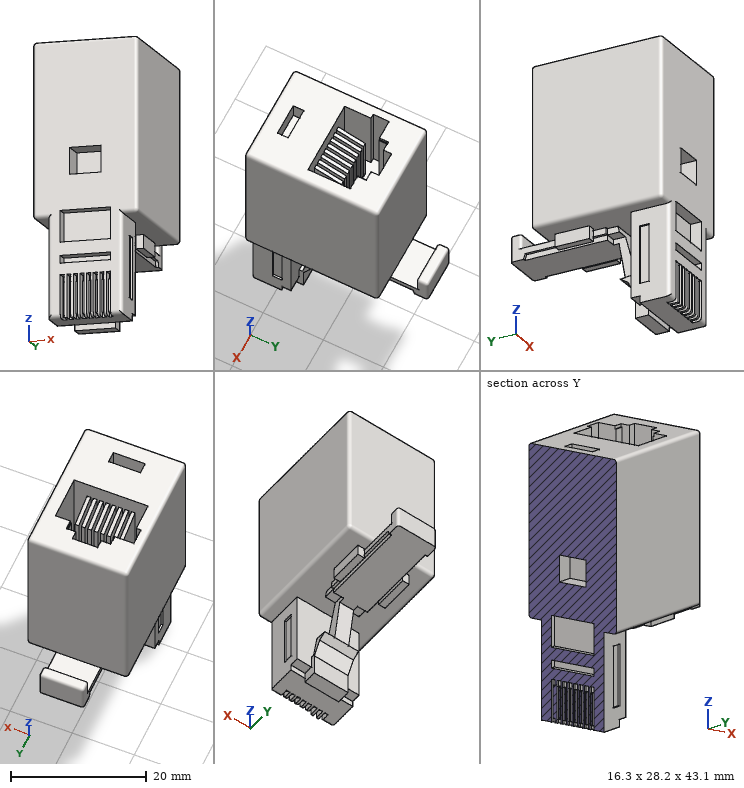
import cadquery as cq

HOUSING_WIDTH = 16.26
HOUSING_DEPTH = 22.23
HOUSING_HEIGHT = 26.87
EDGE_RADIUS = 0.6

PLUG_WIDTH = 11.58
PLUG_DEPTH = 6.57
PLUG_LENGTH = 15.34
NOTCH_FRONT = 5.03
NOTCH_HEIGHT = 1.14

CONTACT_COUNT = 8
CONTACT_PITCH = 1.02
SLOT_WIDTH = 0.6
SLOT_LENGTH = 6.57
SLOT_DEPTH = 1.5
BLADE_PITCH = 1.0
BLADE_WIDTH = 0.35
BLADE_FRONT = 0.8
BLADE_TOP = -9.67
BLADE_BOTTOM = -14.7
BLADE_RADIUS = 0.3
SQUARE_RIB_COUNT = 2

SQUARE_POCKET_WIDTH = 4.83
SQUARE_POCKET_BOTTOM = 6.43
SQUARE_POCKET_TOP = 10.51
SQUARE_POCKET_DEPTH = 3.7
CONTACT_ROW_WIDTH = (CONTACT_COUNT - 1) * CONTACT_PITCH + SLOT_WIDTH
LARGE_POCKET_BOTTOM = -3.8
LARGE_POCKET_TOP = 1.02
CRIMP_POCKET_BOTTOM = -7.0
CRIMP_POCKET_TOP = -5.84
CABLE_POCKET_DEPTH = 1.86

GROOVE_FRONT = 3.51
GROOVE_BACK = 5.08
GROOVE_BOTTOM = -12.12
GROOVE_TOP = -2.63
GROOVE_DEPTH = 0.3

JACK_DEPTH = 14.0
JACK_FRONT = 9.49
JACK_SHOULDER = 16.5
JACK_STEP = 17.96
JACK_BACK = 19.28
JACK_WIDTH = 11.9
JACK_STEP_WIDTH = 6.8
JACK_MOUTH_WIDTH = 7.13
JACK_MOUTH_DEPTH = 0.5
JACK_KEY_WIDTH = 4.06
KEYWAY_FRONT = 13.87
KEYWAY_DEPTH = 0.73
SPRING_REACH = 4.5
SPRING_DROP = 1.4
SPRING_TOP_DEPTH = 3.0
TOP_SLOT_WIDTH = 5.12
TOP_SLOT_FRONT = 2.67
TOP_SLOT_BACK = 4.43
TOP_SLOT_DEPTH = 3.0

LEVER_WIDTH = 7.17
LEVER_TOP = -0.3
LEVER_BOTTOM = -2.19
LEVER_LEDGE = -1.32
LEVER_FRONT = 12.0
NARROW_WIDTH = 6.3
LATCH_BACK = 28.19
TAB_FRONT = 26.3
TAB_TOP = 2.19
TAB_RADIUS = 0.45
RECESS_BACK = 25.7
RECESS_SLANT = 0.3
ARM_WIDTH = 2.6
ARM_FRONT_TOP = 10.25
ARM_BACK_TOP = 11.06
KINK = (9.86, -9.15)
KINK_Z_FRONT = -8.95
ARM_BEND = (8.6, -9.93)
FOOT_BACK = 7.3
FOOT_TOP = -12.0
FOOT_DROP = 0.3
FOOT_BOTTOM = HOUSING_HEIGHT - 43.08
ARM_FRONT_FOOT = 7.1

RAIL_FRONT = 14.17
RAIL_BACK = 20.0
RAIL_DEPTH = 2.1
RAIL_THICKNESS = 1.2


def block(x_range, y_range, z_range):
    """Box between the given limits along X, Y and Z."""
    limits = (x_range, y_range, z_range)
    sizes = [high - low for low, high in limits]
    corner = cq.Vector(*[low for low, high in limits])
    return cq.Workplane(cq.Solid.makeBox(*sizes, corner))


def centered_block(width, y_range, z_range):
    """Box that is symmetric about X = 0."""
    return block((-width / 2, width / 2), y_range, z_range)


def side_profile(points, width, middle=0):
    """Outline of (Y, Z) points given a width along X."""
    start = cq.Workplane("YZ", origin=(middle - width / 2, 0, 0))
    return start.polyline(points).close().extrude(width)


def contact_places(pitch):
    """Middle of each contact along X, for contacts spaced by the given pitch."""
    first = -(CONTACT_COUNT - 1) / 2 * pitch
    return [first + i * pitch for i in range(CONTACT_COUNT)]


def make_shell():
    """Housing and plug as a plain rounded block."""
    housing = centered_block(HOUSING_WIDTH, (0, HOUSING_DEPTH), (0, HOUSING_HEIGHT))
    plug = centered_block(PLUG_WIDTH, (0, PLUG_DEPTH), (-PLUG_LENGTH, EDGE_RADIUS))
    shell = housing.union(plug)
    front_edges = shell.faces("<Y").edges()
    side_edges = shell.faces("<X or >X").edges()
    back_edges = shell.faces(">Y").edges()
    top_edges = shell.faces(">Z").edges()
    rounded = front_edges.add(side_edges).add(back_edges).add(top_edges)
    return rounded.fillet(EDGE_RADIUS)


def cut_front_pockets(body):
    for width, depth, bottom, top in (
        (SQUARE_POCKET_WIDTH, SQUARE_POCKET_DEPTH, SQUARE_POCKET_BOTTOM, SQUARE_POCKET_TOP),
        (CONTACT_ROW_WIDTH, CABLE_POCKET_DEPTH, LARGE_POCKET_BOTTOM, LARGE_POCKET_TOP),
        (CONTACT_ROW_WIDTH, CABLE_POCKET_DEPTH, CRIMP_POCKET_BOTTOM, CRIMP_POCKET_TOP),
    ):
        body = body.cut(centered_block(width, (0, depth), (bottom, top)))
    return body


def add_plug_contacts(body):
    """Slots open at the tip of the plug, each with a rounded contact blade on its floor."""
    places = contact_places(CONTACT_PITCH)
    slot_top = SLOT_LENGTH - PLUG_LENGTH
    for left in places[:SQUARE_RIB_COUNT]:
        rib_range = (left, left + CONTACT_PITCH)
        body = body.union(block(rib_range, (0, EDGE_RADIUS), (-PLUG_LENGTH, slot_top)))
    for x in places:
        slot_range = (x - SLOT_WIDTH / 2, x + SLOT_WIDTH / 2)
        body = body.cut(block(slot_range, (0, SLOT_DEPTH), (-PLUG_LENGTH, slot_top)))
    for x in contact_places(BLADE_PITCH):
        blade_range = (x - BLADE_WIDTH / 2, x + BLADE_WIDTH / 2)
        blade = block(blade_range, (BLADE_FRONT, SLOT_DEPTH), (BLADE_BOTTOM, BLADE_TOP))
        body = body.union(blade.faces("<Y").edges("|X").fillet(BLADE_RADIUS))
    return body


def cut_plug_grooves_and_notch(body):
    half = PLUG_WIDTH / 2
    for x_range in ((-half, GROOVE_DEPTH - half), (half - GROOVE_DEPTH, half)):
        body = body.cut(block(x_range, (GROOVE_FRONT, GROOVE_BACK), (GROOVE_BOTTOM, GROOVE_TOP)))
    notch_range = (-PLUG_LENGTH, NOTCH_HEIGHT - PLUG_LENGTH)
    return body.cut(centered_block(PLUG_WIDTH, (NOTCH_FRONT, PLUG_DEPTH), notch_range))


def cut_jack(body):
    """Stepped opening with a keyway in its left wall and spring contacts on its front wall."""
    z_range = (HOUSING_HEIGHT - JACK_DEPTH, HOUSING_HEIGHT)
    opening = centered_block(JACK_WIDTH, (JACK_FRONT, JACK_SHOULDER), z_range)
    opening = opening.union(centered_block(JACK_STEP_WIDTH, (JACK_FRONT, JACK_STEP), z_range))
    opening = opening.union(centered_block(JACK_KEY_WIDTH, (JACK_FRONT, JACK_BACK), z_range))
    mouth_range = (HOUSING_HEIGHT - JACK_MOUTH_DEPTH, HOUSING_HEIGHT)
    opening = opening.union(centered_block(JACK_MOUTH_WIDTH, (JACK_SHOULDER, JACK_STEP), mouth_range))
    keyway_range = (-JACK_WIDTH / 2 - KEYWAY_DEPTH, 0)
    opening = opening.union(block(keyway_range, (KEYWAY_FRONT, JACK_SHOULDER), z_range))
    spring_top = HOUSING_HEIGHT - SPRING_TOP_DEPTH
    spring_back = JACK_FRONT + SPRING_REACH
    spring_points = [
        (JACK_FRONT, spring_top),
        (spring_back, spring_top - SPRING_DROP),
        (spring_back, z_range[0]),
        (JACK_FRONT, z_range[0]),
    ]
    for x in contact_places(CONTACT_PITCH):
        opening = opening.cut(side_profile(spring_points, SLOT_WIDTH, x))
    return body.cut(opening)


def cut_top_slot(body):
    z_range = (HOUSING_HEIGHT - TOP_SLOT_DEPTH, HOUSING_HEIGHT)
    return body.cut(centered_block(TOP_SLOT_WIDTH, (TOP_SLOT_FRONT, TOP_SLOT_BACK), z_range))


def add_guide_rails(body):
    inner = LEVER_WIDTH / 2
    outer = inner + RAIL_THICKNESS
    for x_range in ((-outer, -inner), (inner, outer)):
        body = body.union(block(x_range, (RAIL_FRONT, RAIL_BACK), (-RAIL_DEPTH, 0)))
    return body


def make_housing():
    body = make_shell()
    body = cut_front_pockets(body)
    body = add_plug_contacts(body)
    body = cut_plug_grooves_and_notch(body)
    body = cut_jack(body)
    body = cut_top_slot(body)
    return add_guide_rails(body)


def make_lever():
    """Flat lever with a rounded upright tab and set-back lower sides."""
    tab = centered_block(LEVER_WIDTH, (TAB_FRONT, LATCH_BACK), (LEVER_BOTTOM, TAB_TOP))
    tab = tab.edges("|Z or >Z").fillet(TAB_RADIUS)
    plate = centered_block(
        LEVER_WIDTH, (LEVER_FRONT, LATCH_BACK - TAB_RADIUS), (LEVER_BOTTOM, LEVER_TOP)
    )
    recess_points = [
        (LEVER_FRONT, LEVER_LEDGE),
        (RECESS_BACK, LEVER_LEDGE),
        (RECESS_BACK + RECESS_SLANT, LEVER_BOTTOM),
        (LEVER_FRONT, LEVER_BOTTOM),
    ]
    recess = side_profile(recess_points, LEVER_WIDTH).cut(side_profile(recess_points, NARROW_WIDTH))
    return tab.union(plate).cut(recess)


def arm_front_at(z):
    """Y of the straight front face of the arm at height z."""
    share = (z - FOOT_TOP) / (LEVER_TOP - FOOT_TOP)
    return ARM_FRONT_FOOT + share * (ARM_FRONT_TOP - ARM_FRONT_FOOT)


def make_arm():
    """Neck at the lever, slim upper arm, and wider lower arm ending in the foot."""
    neck_points = [
        (LEVER_FRONT, LEVER_TOP),
        (ARM_FRONT_TOP, LEVER_TOP),
        (arm_front_at(LEVER_LEDGE), LEVER_LEDGE),
        (LEVER_FRONT, LEVER_LEDGE),
    ]
    upper_points = [
        (LEVER_FRONT, LEVER_LEDGE),
        (arm_front_at(LEVER_LEDGE), LEVER_LEDGE),
        (arm_front_at(KINK_Z_FRONT), KINK_Z_FRONT),
        KINK,
        (ARM_BACK_TOP, LEVER_BOTTOM),
        (LEVER_FRONT, LEVER_BOTTOM),
    ]
    lower_points = [
        KINK,
        (arm_front_at(KINK_Z_FRONT), KINK_Z_FRONT),
        (ARM_FRONT_FOOT, FOOT_TOP),
        (PLUG_DEPTH, FOOT_TOP),
        (PLUG_DEPTH, NOTCH_HEIGHT - PLUG_LENGTH),
        (NOTCH_FRONT, NOTCH_HEIGHT - PLUG_LENGTH),
        (NOTCH_FRONT, FOOT_BOTTOM),
        (FOOT_BACK, FOOT_BOTTOM),
        (FOOT_BACK, FOOT_TOP - FOOT_DROP),
        ARM_BEND,
    ]
    neck = side_profile(neck_points, NARROW_WIDTH)
    upper = side_profile(upper_points, ARM_WIDTH)
    lower = side_profile(lower_points, NARROW_WIDTH)
    return neck.union(upper).union(lower)


def make_latch():
    return make_lever().union(make_arm())


housing = make_housing()
latch = make_latch()

result = cq.Compound.makeCompound([housing.val(), latch.val()])